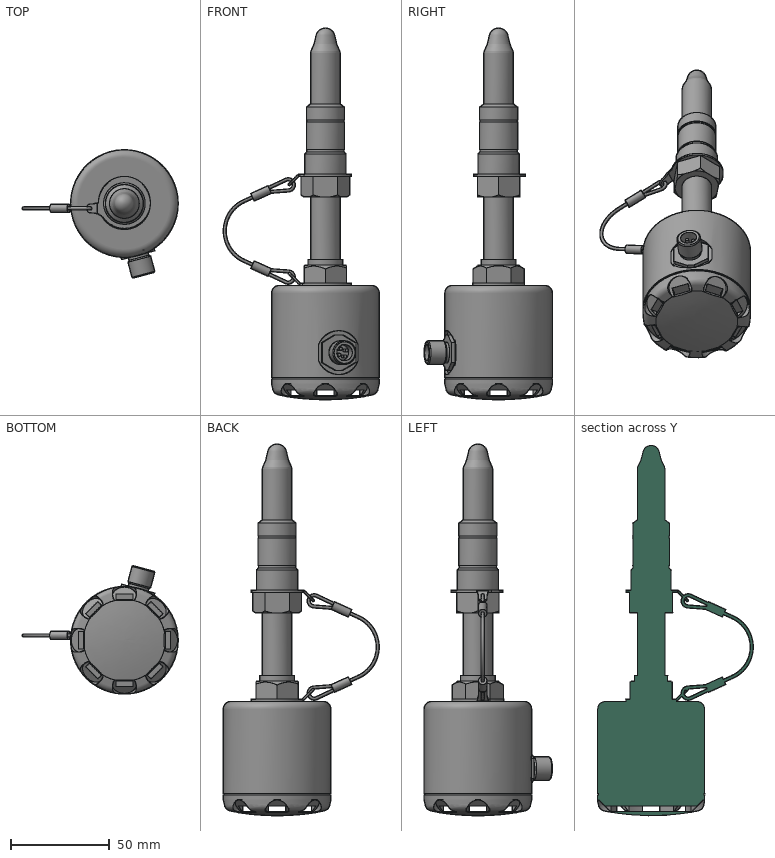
import cadquery as cq
import math

overall_height = 188.0

housing_radius = 27.3
housing_top_z = 57.9
housing_top_rounding = 4.0
joint_z = 10.9
joint_height = 0.5
joint_depth = 0.4
cap_taper_top_z = 8.0
cap_taper_bottom_z = 5.8
cap_taper_radius = 27.0
cap_edge_radius = 24.5
cap_edge_z = 2.5
cap_corner_bulge = 0.5
dome_apex_z = 0.0

vent_count = 8
vent_diameter = 12.0
vent_tilt = 45.0
vent_end_radius = 22.5
vent_end_z = 4.1
vent_depth = 15.0
window_width = 8.6
cavity_radius = 20.7
cavity_bottom_z = 2.3
cavity_top_z = 4.9

rod_radius = 7.5
tip_sphere_radius = 4.9
tip_sphere_edge_radius = 4.7
tip_cone_base_radius = 5.8
tip_cone_base_z = 179.7
tip_shoulder_radius = 7.3
tip_shoulder_z = 176.3
tip_shoulder_bottom_z = 175.2
sleeve_diameter = 19.4
sleeve_groove_diameter = 19.0
sleeve_top_z = 149.6
sleeve_chamfer_z = 148.0
sleeve_groove_top_z = 141.5
sleeve_groove_height = 1.1
sleeve_bottom_z = 126.5
sleeve_neck_bottom_z = 125.4
collar_radius = 10.5
collar_top_z = 124.3

nut_width = 21.5
upper_nut_chamfer = 1.0
upper_nut_bottom_z = 102.6
upper_washer_top_z = 114.1
lower_nut_top_z = 68.0
lower_nut_chamfer = 1.9
lower_nut_corner_reach = 13.0
washer_radius = 13.2
upper_washer_shift_y = 0.5
washer_thickness = 1.1
spigot_radius = 8.8
spigot_top_z = 71.0

connector_turn = 15.0
connector_z = 23.9
spotface_diameter = 22.2
spotface_distance = 25.2
connector_hex_width = 17.5
connector_hex_height = 18.0
connector_hex_face = 27.0
connector_diameter = 12.0
connector_neck_diameter = 10.5
connector_neck_end = 28.4
connector_shell_start = 29.1
connector_end = 37.6
connector_tip_chamfer = 0.5
socket_diameter = 8.0
socket_floor = 30.0
pin_count = 4
pin_diameter = 1.64
pin_circle_radius = 2.3
pin_end = 34.5
pin_turn = 30.0

tether_y = -2.5
tether_mid_z = 85.4
tether_reach = 51.7
cable_diameter = 1.64
ferrule_diameter = 4.3
ferrule_length = 9.5
ferrule_x = -32.5
ferrule_z = 104.3
ferrule_angle = 24.3
loop_x = -18.8
loop_z = 108.7
loop_radius = 2.8
loop_leg_offset = 1.0
loop_leg_inset = 1.0

lug_width = 4.5
lug_root_width = 9.4
lug_bend_width = 5.6
lug_flare_length = 2.8
lug_root_x = -10.3
lug_tip_x = -18.6
lug_bend_angle = 45.0
lug_eye_diameter = 1.9
upper_lug_bend_x = -13.5
lower_lug_bend_x = -12.8


def disc(radius, bottom_z, top_z):
    return cq.Workplane("XY").workplane(offset=bottom_z).circle(radius).extrude(top_z - bottom_z)


def housing():
    """Housing and cap as one turned body, with the joint groove between them."""
    groove_radius = housing_radius - joint_depth
    joint_bottom_z = joint_z - joint_height / 2
    joint_top_z = joint_z + joint_height / 2
    corner_mid_radius = (cap_taper_radius + cap_edge_radius) / 2 + cap_corner_bulge
    corner_mid_z = (cap_taper_bottom_z + cap_edge_z) / 2 - cap_corner_bulge
    dome_mid_z = dome_apex_z + (cap_edge_z - dome_apex_z) / 4
    profile = (
        cq.Workplane("XZ")
        .moveTo(0, dome_apex_z)
        .threePointArc((cap_edge_radius / 2, dome_mid_z), (cap_edge_radius, cap_edge_z))
        .threePointArc((corner_mid_radius, corner_mid_z), (cap_taper_radius, cap_taper_bottom_z))
        .lineTo(housing_radius, cap_taper_top_z)
        .lineTo(housing_radius, joint_bottom_z)
        .lineTo(groove_radius, joint_bottom_z)
        .lineTo(groove_radius, joint_top_z)
        .lineTo(housing_radius, joint_top_z)
        .lineTo(housing_radius, housing_top_z)
        .lineTo(0, housing_top_z)
        .close()
    )
    return profile.revolve(360, (0, 0, 0), (0, 1, 0)).faces(">Z").edges().fillet(housing_top_rounding)


def vents():
    """Cavity above the cap floor, with a tilted blind bore and a window for each vent."""
    cut = disc(cavity_radius, cavity_bottom_z, cavity_top_z)
    tilt = math.radians(vent_tilt)
    bore = cq.Workplane(
        cq.Solid.makeCylinder(
            vent_diameter / 2,
            vent_depth,
            cq.Vector(vent_end_radius, 0, vent_end_z),
            cq.Vector(math.cos(tilt), 0, -math.sin(tilt)),
        )
    )
    window = (
        cq.Workplane("XY")
        .box(
            housing_radius,
            window_width,
            cavity_top_z - cavity_bottom_z,
            centered=(False, True, False),
        )
        .translate((0, 0, cavity_bottom_z))
    )
    vent = bore.union(window)
    for i in range(vent_count):
        cut = cut.union(vent.rotate((0, 0, 0), (0, 0, 1), i * 360 / vent_count))
    return cut


def rod():
    """Turned rod: rounded tip, stepped sleeve and collar, spigot at the foot."""
    sleeve_radius = sleeve_diameter / 2
    sleeve_groove_radius = sleeve_groove_diameter / 2
    sphere_rise = math.sqrt(tip_sphere_radius**2 - tip_sphere_edge_radius**2)
    sphere_centre_z = overall_height - tip_sphere_radius
    half_angle = math.atan2(tip_sphere_edge_radius, sphere_rise) / 2
    arc_mid = (
        tip_sphere_radius * math.sin(half_angle),
        sphere_centre_z + tip_sphere_radius * math.cos(half_angle),
    )
    sleeve_groove_bottom_z = sleeve_groove_top_z - sleeve_groove_height
    collar_bottom_z = upper_washer_top_z - washer_thickness
    outline = [
        (tip_cone_base_radius, tip_cone_base_z),
        (tip_shoulder_radius, tip_shoulder_z),
        (rod_radius, tip_shoulder_bottom_z),
        (rod_radius, sleeve_top_z),
        (sleeve_radius, sleeve_chamfer_z),
        (sleeve_radius, sleeve_groove_top_z),
        (sleeve_groove_radius, sleeve_groove_top_z),
        (sleeve_groove_radius, sleeve_groove_bottom_z),
        (sleeve_radius, sleeve_groove_bottom_z),
        (sleeve_radius, sleeve_bottom_z),
        (sleeve_groove_radius, sleeve_bottom_z),
        (sleeve_groove_radius, sleeve_neck_bottom_z),
        (collar_radius, collar_top_z),
        (collar_radius, collar_bottom_z),
        (rod_radius, collar_bottom_z),
        (rod_radius, spigot_top_z),
        (spigot_radius, spigot_top_z),
        (spigot_radius, housing_top_z),
        (0, housing_top_z),
    ]
    profile = (
        cq.Workplane("XZ")
        .moveTo(0, overall_height)
        .threePointArc(arc_mid, (tip_sphere_edge_radius, sphere_centre_z + sphere_rise))
    )
    for point in outline:
        profile = profile.lineTo(*point)
    return profile.close().revolve(360, (0, 0, 0), (0, 1, 0))


def hex_nut(bottom_z, top_z, corner_reach, chamfered_face, chamfer):
    """Six-sided nut with corners on the Y axis, turned down at one end."""
    half_width = nut_width / 2
    half_side = half_width / math.sqrt(3)
    prism = (
        cq.Workplane("XY")
        .workplane(offset=bottom_z)
        .polyline([
            (0, corner_reach),
            (half_width, half_side),
            (half_width, -half_side),
            (0, -corner_reach),
            (-half_width, -half_side),
            (-half_width, half_side),
        ])
        .close()
        .extrude(top_z - bottom_z)
    )
    turned = disc(corner_reach, bottom_z, top_z).faces(chamfered_face).chamfer(
        chamfer, chamfer * math.sqrt(2)
    )
    return prism.intersect(turned)


def lug_washer(bottom_z, shift_y, bend_x, rise):
    """Washer with a lug bent up (rise = 1) or down (rise = -1) that ends in an eye."""
    washer = disc(washer_radius, bottom_z, bottom_z + washer_thickness).translate((0, shift_y, 0))
    flat = (
        cq.Workplane("XY")
        .workplane(offset=bottom_z)
        .polyline([
            (lug_root_x, tether_y - lug_root_width / 2),
            (lug_root_x, tether_y + lug_root_width / 2),
            (bend_x, tether_y + lug_bend_width / 2),
            (bend_x, tether_y - lug_bend_width / 2),
        ])
        .close()
        .extrude(washer_thickness)
    )
    bend = math.radians(lug_bend_angle)
    tip_radius = lug_width / 2
    arm_length = (bend_x - lug_tip_x) / math.cos(bend) - tip_radius
    arm_plane = cq.Plane(
        origin=(bend_x, tether_y, bottom_z + washer_thickness / 2),
        xDir=(-math.cos(bend), 0, rise * math.sin(bend)),
        normal=(rise * math.sin(bend), 0, math.cos(bend)),
    )
    arm = (
        cq.Workplane(arm_plane)
        .moveTo(0, -lug_bend_width / 2)
        .lineTo(lug_flare_length, -tip_radius)
        .lineTo(arm_length, -tip_radius)
        .threePointArc((arm_length + tip_radius, 0), (arm_length, tip_radius))
        .lineTo(lug_flare_length, tip_radius)
        .lineTo(0, lug_bend_width / 2)
        .close()
        .extrude(washer_thickness / 2, both=True)
    )
    eye = (
        cq.Workplane(arm_plane)
        .center(arm_length, 0)
        .circle(lug_eye_diameter / 2)
        .extrude(washer_thickness, both=True)
    )
    return washer.union(flat).union(arm).cut(eye)


def sweep_cable(path, start, direction):
    section = cq.Plane(
        origin=(start[0], tether_y, start[1]),
        xDir=(0, 1, 0),
        normal=(direction[0], 0, direction[1]),
    )
    return cq.Workplane(section).circle(cable_diameter / 2).sweep(path)


def tether_plane():
    return cq.Workplane("XZ", origin=(0, tether_y, 0))


def tether():
    """Cable bow with a ferrule and an eye loop at each end, mirrored about its middle."""
    slope = math.radians(ferrule_angle)
    along = (math.cos(slope), math.sin(slope))
    normal = (-math.sin(slope), math.cos(slope))

    bow_left_x = cable_diameter / 2 - tether_reach
    bow_radius = (
        normal[0] * (ferrule_x - bow_left_x) + normal[1] * (ferrule_z - tether_mid_z)
    ) / (1 + normal[0])
    bow_centre_x = bow_left_x + bow_radius
    touch = (bow_centre_x + bow_radius * normal[0], tether_mid_z + bow_radius * normal[1])
    start = (ferrule_x, ferrule_z)
    bow = (
        tether_plane()
        .moveTo(*start)
        .lineTo(*touch)
        .threePointArc((bow_left_x, tether_mid_z), (touch[0], 2 * tether_mid_z - touch[1]))
        .lineTo(ferrule_x, 2 * tether_mid_z - ferrule_z)
    )
    cable = sweep_cable(bow, start, (-along[0], -along[1]))

    ferrule = cq.Workplane(
        cq.Solid.makeCylinder(
            ferrule_diameter / 2,
            ferrule_length,
            cq.Vector(
                ferrule_x - along[0] * ferrule_length / 2,
                tether_y,
                ferrule_z - along[1] * ferrule_length / 2,
            ),
            cq.Vector(along[0], 0, along[1]),
        )
    )

    leg_distance = ferrule_length / 2 - loop_leg_inset

    def loop_leg(side):
        """Start and arc tangent point of the leg on one side (1 or -1), and its direction."""
        leg_start = (
            ferrule_x + along[0] * leg_distance + side * loop_leg_offset * normal[0],
            ferrule_z + along[1] * leg_distance + side * loop_leg_offset * normal[1],
        )
        span = math.hypot(loop_x - leg_start[0], loop_z - leg_start[1])
        heading = math.atan2(loop_z - leg_start[1], loop_x - leg_start[0])
        angle = heading + side * math.asin(loop_radius / span)
        leg_end = (
            loop_x - side * loop_radius * math.sin(angle),
            loop_z + side * loop_radius * math.cos(angle),
        )
        return leg_start, leg_end, (math.cos(angle), math.sin(angle))

    upper_start, upper_end, upper_direction = loop_leg(1)
    lower_start, lower_end, _ = loop_leg(-1)
    loop_path = (
        tether_plane()
        .moveTo(*upper_start)
        .lineTo(*upper_end)
        .threePointArc((loop_x + loop_radius * along[0], loop_z + loop_radius * along[1]), lower_end)
        .lineTo(*lower_start)
    )
    loop = sweep_cable(loop_path, upper_start, upper_direction)

    end_fitting = ferrule.union(loop)
    return cable.union(end_fitting).union(
        end_fitting.mirror("XY", (0, 0, tether_mid_z))
    )


def connector_frame(distance):
    """Workplane facing out along the connector axis, at a distance from the rod axis."""
    turn = math.radians(connector_turn)
    outward = (math.sin(turn), -math.cos(turn), 0)
    plane = cq.Plane(
        origin=(distance * outward[0], distance * outward[1], connector_z),
        xDir=(math.cos(turn), math.sin(turn), 0),
        normal=outward,
    )
    return cq.Workplane(plane)


def spotface():
    return connector_frame(spotface_distance).circle(spotface_diameter / 2).extrude(
        connector_end - spotface_distance
    )


def connector():
    """Hex base with trimmed corners, necked shell, socket and pins."""
    hex_depth = connector_hex_face - spotface_distance
    hex_corner_diameter = 2 * connector_hex_width / math.sqrt(3)
    trim = connector_frame(spotface_distance).rect(connector_hex_width, connector_hex_height)
    base = (
        connector_frame(spotface_distance)
        .transformed(rotate=(0, 0, 90))
        .polygon(6, hex_corner_diameter)
        .extrude(hex_depth)
        .intersect(trim.extrude(hex_depth))
    )
    neck = connector_frame(connector_hex_face).circle(connector_neck_diameter / 2).extrude(
        connector_neck_end - connector_hex_face
    )
    flare = (
        connector_frame(connector_neck_end)
        .circle(connector_neck_diameter / 2)
        .workplane(offset=connector_shell_start - connector_neck_end)
        .circle(connector_diameter / 2)
        .loft()
    )
    shell_length = connector_end - connector_shell_start
    shell = connector_frame(connector_shell_start).circle(connector_diameter / 2)
    shell = shell.extrude(shell_length)
    tip_centre = connector_frame(connector_end).plane.origin.toTuple()
    tip_face = cq.selectors.NearestToPointSelector(tip_centre)
    shell = shell.faces(tip_face).chamfer(connector_tip_chamfer)
    socket = connector_frame(socket_floor).circle(socket_diameter / 2).extrude(
        connector_end - socket_floor
    )
    pins = (
        connector_frame(socket_floor)
        .polarArray(pin_circle_radius, pin_turn, 360, pin_count)
        .circle(pin_diameter / 2)
        .extrude(pin_end - socket_floor)
    )
    return base.union(neck).union(flare).union(shell).cut(socket).union(pins)


upper_washer_bottom_z = upper_washer_top_z - washer_thickness
lower_washer_top_z = housing_top_z + washer_thickness

result = housing().cut(vents()).cut(spotface()).union(connector())
result = result.union(rod())

upper_nut = hex_nut(
    upper_nut_bottom_z, upper_washer_bottom_z, nut_width / math.sqrt(3), "<Z", upper_nut_chamfer
)
lower_nut = hex_nut(
    lower_washer_top_z, lower_nut_top_z, lower_nut_corner_reach, ">Z", lower_nut_chamfer
)
result = result.union(upper_nut.rotate((0, 0, 0), (0, 0, 1), 90)).union(lower_nut)

result = result.union(lug_washer(upper_washer_bottom_z, upper_washer_shift_y, upper_lug_bend_x, -1))
result = result.union(lug_washer(housing_top_z, 0, lower_lug_bend_x, 1))
result = result.union(tether())